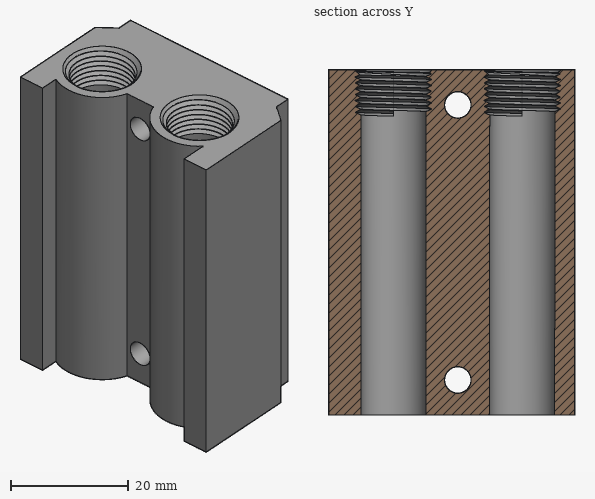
import cadquery as cq
import math

width = 42.0
depth = 25.0
length = 59.0

back_step = 3.2
land_depth = 3.0
shoulder_depth = 5.55

leg_width = 5.0
web_y = 8.2
boss_radius = 8.5

bore_y = 11.0
bore_spacing = 22.0
left_bore_inset = 8.95
bore_radius = 5.65
left_bore_x = left_bore_inset - width / 2
bore_xs = [left_bore_x, left_bore_x + bore_spacing]

thread_pitch = 1.0
thread_length = 7.5
thread_height = 0.95
crest_flat = 0.03
thread_start_angle = 270
groove_overlap = 0.05
thread_turns = math.ceil(thread_length / thread_pitch) + 1
mouth_radius = 6.7
mouth_depth = mouth_radius - bore_radius

mount_diameter = 4.5
mount_end_distance = 6.0
mount_x = sum(bore_xs) / 2


def make_body():
    """Profile with legs, web and sloped back corners, plus the two bosses."""
    half_width = width / 2
    half_land = half_width - back_step
    half_channel = half_width - leg_width
    block = (
        cq.Workplane("XY")
        .polyline([
            (-half_width, 0),
            (-half_channel, 0),
            (-half_channel, web_y),
            (half_channel, web_y),
            (half_channel, 0),
            (half_width, 0),
            (half_width, depth - shoulder_depth),
            (half_land, depth - land_depth),
            (half_land, depth),
            (-half_land, depth),
            (-half_land, depth - land_depth),
            (-half_width, depth - shoulder_depth),
        ])
        .close()
        .extrude(length)
    )
    bosses = (
        cq.Workplane("XY")
        .pushPoints([(x, bore_y) for x in bore_xs])
        .circle(boss_radius)
        .extrude(length)
    )
    return block.union(bosses)


def make_bore():
    """Through bore with a 45 degree conical mouth, centred on the Z axis."""
    return (
        cq.Workplane("XZ")
        .polyline([
            (0, 0),
            (bore_radius, 0),
            (bore_radius, length - mouth_depth),
            (mouth_radius, length),
            (0, length),
        ])
        .close()
        .revolve(360, (0, 0), (0, 1))
    )


def make_groove_turn():
    """One turn of the V-shaped thread groove, starting at height zero."""
    half_groove = (thread_pitch - crest_flat) / 2
    helix = cq.Wire.makeHelix(thread_pitch, thread_pitch, bore_radius)
    turn = (
        cq.Workplane("XZ")
        .polyline([
            (bore_radius - groove_overlap, -half_groove),
            (bore_radius + thread_height, 0),
            (bore_radius - groove_overlap, half_groove),
        ])
        .close()
        .sweep(cq.Workplane(helix), isFrenet=True)
    )
    return turn.rotate((0, 0, 0), (0, 0, 1), thread_start_angle)


def make_mount_holes():
    """Two holes along Y through the web, one near each end."""
    heights = [mount_end_distance, length - mount_end_distance]
    return (
        cq.Workplane("XZ")
        .pushPoints([(mount_x, z) for z in heights])
        .circle(mount_diameter / 2)
        .extrude(-depth)
    )


result = make_body().cut(make_mount_holes())
bore = make_bore()
groove_turn = make_groove_turn()
for x in bore_xs:
    result = result.cut(bore.translate((x, bore_y, 0)))
    for turn in range(thread_turns):
        turn_z = length - thread_length + turn * thread_pitch
        result = result.cut(groove_turn.translate((x, bore_y, turn_z)), clean=False)